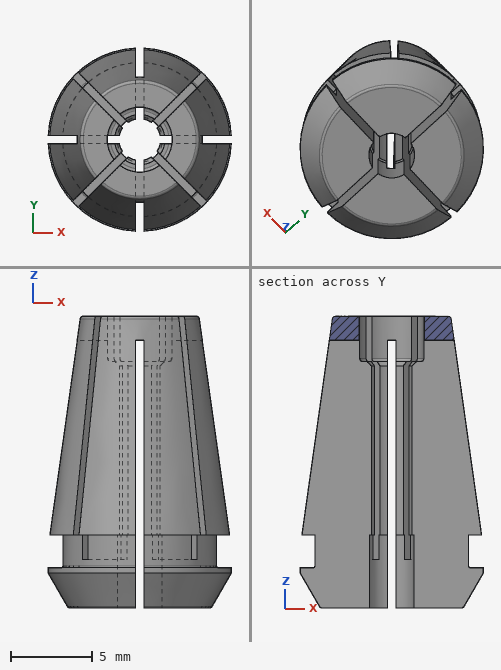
import cadquery as cq
import math

height = 18.0
flange_radius = 5.65
neck_radius = 4.75
nose_radius = 4.405
nose_fillet = 0.2
nose_cone_half_angle = 30.0
flange_top_z = 2.5
neck_fillet = 0.1

taper_base_z = 4.5
taper_base_radius = 5.55
taper_half_angle = 8.0
tip_fillet = 0.2

relief_radius = 2.0
relief_depth = 2.8
relief_fillet = 0.2
lead_in_radius = 1.55
lead_in_half_angle = 45.0
grip_radius = 1.28
nose_bore_radius = 1.4
nose_bore_depth = 4.5

slot_width = 0.5
slot_end_gap = 1.5
diagonal_slot_floor_z = 3.0
diagonal_slot_angle = 45.0

nose_cone_top_z = (flange_radius - nose_radius) / math.tan(math.radians(nose_cone_half_angle))
tip_radius = taper_base_radius - (height - taper_base_z) * math.tan(math.radians(taper_half_angle))
relief_floor_z = height - relief_depth
lead_in_drop = (lead_in_radius - grip_radius) / math.tan(math.radians(lead_in_half_angle))
slot_length = 4 * flange_radius
select_margin = 0.01


def rim(body, radius, z):
    """Circular edge of the given radius at height z, the largest one within that reach."""
    reach = radius + select_margin
    low = (-reach, -reach, z - select_margin)
    high = (reach, reach, z + select_margin)
    within_reach = cq.selectors.BoxSelector(low, high, boundingbox=True)
    largest = cq.selectors.RadiusNthSelector(-1)
    return body.edges(within_reach).edges("%CIRCLE").edges(largest)


def revolve_profile(points):
    """Solid of revolution about Z from (radius, z) points."""
    return cq.Workplane("XZ").polyline(points).close().revolve(360, (0, 0, 0), (0, 1, 0))


def make_body():
    """Solid outer shape: nose cone, flange, neck and clamping taper with their rounded edges."""
    body = revolve_profile([
        (0, 0),
        (nose_radius, 0),
        (flange_radius, nose_cone_top_z),
        (flange_radius, flange_top_z),
        (neck_radius, flange_top_z),
        (neck_radius, taper_base_z),
        (taper_base_radius, taper_base_z),
        (tip_radius, height),
        (0, height),
    ])
    body = rim(body, tip_radius, height).fillet(tip_fillet)
    body = rim(body, neck_radius, flange_top_z).fillet(neck_fillet)
    return rim(body, nose_radius, 0).fillet(nose_fillet)


def make_bore():
    """Stepped bore as a cutting solid: nose counterbore, grip, lead-in cone and tip relief."""
    bore = revolve_profile([
        (0, 0),
        (nose_bore_radius, 0),
        (nose_bore_radius, nose_bore_depth),
        (grip_radius, nose_bore_depth),
        (grip_radius, relief_floor_z - lead_in_drop),
        (lead_in_radius, relief_floor_z),
        (relief_radius, relief_floor_z),
        (relief_radius, height),
        (0, height),
    ])
    return rim(bore, relief_radius, relief_floor_z).fillet(relief_fillet)


def cross_slots(bottom_z, top_z, start_angle):
    """Two slots crossing at right angles on the axis, splitting the body from bottom_z to top_z."""
    slots = cq.Workplane("XY")
    for angle in (start_angle, start_angle + 90):
        floor = cq.Workplane("XY", origin=(0, 0, bottom_z))
        slot = floor.rect(slot_length, slot_width).extrude(top_z - bottom_z)
        slots = slots.add(slot.rotate((0, 0, 0), (0, 0, 1), angle))
    return slots.combine()


nose_slots = cross_slots(0, height - slot_end_gap, 0)
tip_slots = cross_slots(diagonal_slot_floor_z, height, diagonal_slot_angle)

result = make_body().cut(make_bore()).cut(nose_slots).cut(tip_slots)